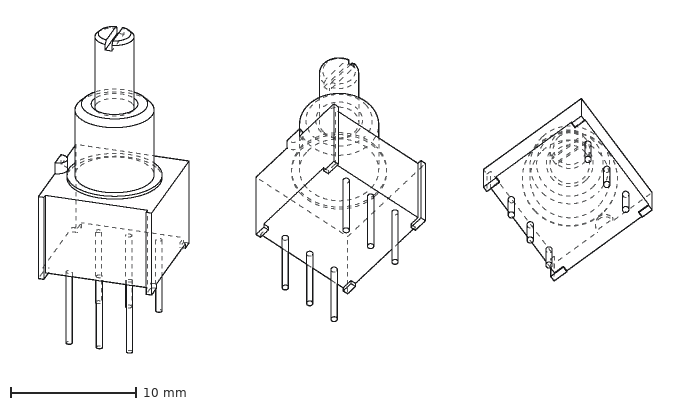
import cadquery as cq

housing_width = 9.53
housing_back = 4.67
housing_front = -5.08
housing_height = 6.95
mid_housing_z = -housing_height / 2
front_recess = 0.38
side_wall = 0.47

foot_height = 0.4
back_foot_length = 0.99
front_foot_length = 1.27

key_radius = 0.79
key_height = 0.95

flange_diameter = 7.62
flange_thickness = 0.25
bushing_diameter = 6.35
bushing_height = 6.6
bushing_chamfer = 0.52
countersink_diameter = 3.74

shaft_diameter = 3.15
shaft_height = 12.9
shaft_chamfer = 0.27
slot_width = 0.56
slot_depth = 0.76

pin_diameter = 0.51
pin_pitch = 2.54
pin_row_spacing = 3 * pin_pitch
front_row_y = -3.94
pin_bottom = -13.31


def block(x_min, x_max, y_min, y_max, z_min, z_max):
    """Axis-aligned box between the given limits."""
    size = (x_max - x_min, y_max - y_min, z_max - z_min)
    return cq.Workplane("XY").box(*size, centered=False).translate((x_min, y_min, z_min))


def cylinder(diameter, z_min, z_max, x=0, y=0):
    """Upright cylinder between two heights."""
    return cq.Workplane("XY", origin=(x, y, z_min)).circle(diameter / 2).extrude(z_max - z_min)


def make_housing():
    """Housing body with side walls that stand proud at the front and end in four feet."""
    half_width = housing_width / 2
    wall_bottom = -housing_height - foot_height
    body = block(-half_width, half_width, housing_front + front_recess, housing_back, -housing_height, 0)
    for x_min in (-half_width, half_width - side_wall):
        wall = block(x_min, x_min + side_wall, housing_front, housing_back, wall_bottom, 0)
        foot_gap = block(
            x_min,
            x_min + side_wall,
            housing_front + front_foot_length,
            housing_back - back_foot_length,
            wall_bottom,
            -housing_height,
        )
        body = body.union(wall.cut(foot_gap))
    return body


def make_key():
    """Half-round locating key, flush with the left side of the housing."""
    left = -housing_width / 2
    post = cylinder(2 * key_radius, mid_housing_z, key_height, x=left)
    inside = block(left, 0, -key_radius, key_radius, mid_housing_z, key_height)
    return post.intersect(inside)


def make_bushing():
    """Flanged bushing with a chamfered rim and a countersunk mouth around the shaft."""
    flange = cylinder(flange_diameter, 0, flange_thickness)
    barrel = cylinder(bushing_diameter, 0, bushing_height).faces(">Z").chamfer(bushing_chamfer)
    countersink_depth = (countersink_diameter - shaft_diameter) / 2
    countersink = cq.Solid.makeCone(
        shaft_diameter / 2,
        countersink_diameter / 2,
        countersink_depth,
        pnt=cq.Vector(0, 0, bushing_height - countersink_depth),
    )
    return flange.union(barrel.cut(countersink))


def make_shaft():
    """Shaft with a chamfered end and a slot running along Y."""
    shaft = cylinder(shaft_diameter, 0, shaft_height).faces(">Z").chamfer(shaft_chamfer)
    slot = block(
        -slot_width / 2,
        slot_width / 2,
        -shaft_diameter,
        shaft_diameter,
        shaft_height - slot_depth,
        shaft_height,
    )
    return shaft.cut(slot)


def make_pins():
    """Two rows of three round terminal pins, rooted inside the housing."""
    back_row_y = front_row_y + pin_row_spacing
    pin_places = [(x, y) for y in (front_row_y, back_row_y) for x in (-pin_pitch, 0, pin_pitch)]
    return (
        cq.Workplane("XY", origin=(0, 0, pin_bottom))
        .pushPoints(pin_places)
        .circle(pin_diameter / 2)
        .extrude(mid_housing_z - pin_bottom)
    )


result = (
    make_housing()
    .union(make_key())
    .union(make_bushing())
    .union(make_shaft())
    .union(make_pins())
)